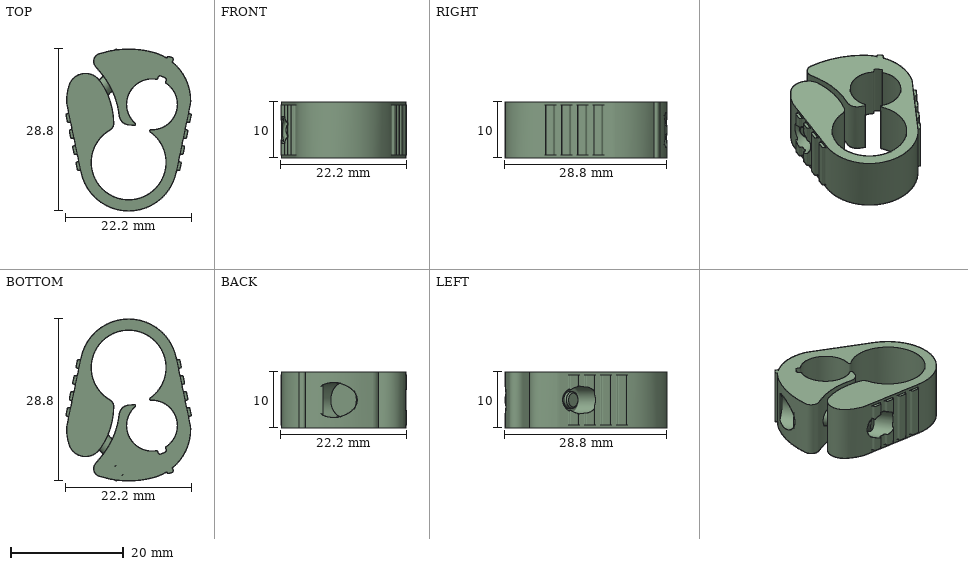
import cadquery as cq
import math

height = 10.0
large_bore_radius = 6.62
end_radius = 8.63
small_bore_centre = (4.15, 10.3)
small_bore_radius = 4.5
tip_radius = 0.23

side_y = 10.9
half_width = 11.02
side_radius = 8.92
blend_radius = 2.88
top_y = 20.12
top_radius = 16.98

lobe_centre = (-15.63, 6.82)
lobe_radius = 13.0
slit_width = 1.0
lobe_nose_radius = 3.08
lobe_foot_radius = 1.38
jaw_radius = lobe_radius + slit_width
jaw_nose_radius = 1.45
jaw_nose_x = -4.78
jaw_foot_radius = 1.93

key_angle = 68.3
groove_width = 1.5
groove_inner_radius = 3.45
groove_outer_radius = 5.25
groove_corner_radius = 0.3
groove_mouth_radius = 0.3
ridge_width = 1.18
ridge_outer_radius = 9.05
ridge_inner_radius = 7.48
ridge_corner_radius = 0.35

rib_count = 4
rib_pitch = 2.9
rib_length = 1.55
rib_rise = 0.55
rib_root_depth = 0.3
rib_corner_radius = 0.23
rib_foot_radius = 0.23
rib_height = 8.95
first_rib_distance = 1.18

recess_floor_centre = (-8.72, 8.65)
screw_angle = 47.0
recess_diameter = 4.9
recess_floor_fillet = 0.2
clearance_diameter = 3.1
shank_diameter = 3.0
tip_diameter = 2.45
tip_chamfer = (shank_diameter - tip_diameter) / 2
tip_protrusion = 0.85
head_diameter = 6.2
head_thickness = 2.01
head_top_distance = 12.8
tool_reach = 5.75


def polar(centre, radius, degrees):
    angle = math.radians(degrees)
    return (centre[0] + radius * math.cos(angle), centre[1] + radius * math.sin(angle))


def heading(start, end):
    return math.degrees(math.atan2(end[1] - start[1], end[0] - start[0]))


def toward(centre, radius, target):
    """Point on a circle in the direction of target."""
    return polar(centre, radius, heading(centre, target))


def meeting_point(centre_a, radius_a, centre_b, radius_b, side):
    """Crossing of two circles; side is 1 for the one left of a-to-b, -1 for the right."""
    distance = math.dist(centre_a, centre_b)
    cosine = (radius_a**2 + distance**2 - radius_b**2) / (2 * radius_a * distance)
    return polar(centre_a, radius_a, heading(centre_a, centre_b) + side * math.degrees(math.acos(cosine)))


def mirrored(point):
    return (-point[0], point[1])


origin = (0.0, 0.0)
top_centre = (0.0, top_y - top_radius)
side_centre = (half_width - side_radius, side_y)
blend_centre = (half_width - blend_radius, side_y)
lobe_nose_centre = meeting_point(
    lobe_centre, lobe_radius - lobe_nose_radius, mirrored(side_centre), side_radius - lobe_nose_radius, 1
)
lobe_foot_centre = meeting_point(
    lobe_centre, lobe_radius - lobe_foot_radius, origin, large_bore_radius + lobe_foot_radius, 1
)
jaw_nose_reach = top_radius - jaw_nose_radius
jaw_nose_centre = (jaw_nose_x, top_centre[1] + math.sqrt(jaw_nose_reach**2 - jaw_nose_x**2))
jaw_foot_centre = meeting_point(
    lobe_centre, jaw_radius + jaw_foot_radius, origin, large_bore_radius + jaw_foot_radius, 1
)
jaw_tip_centre, body_tip_centre = [
    meeting_point(
        origin, large_bore_radius + tip_radius, small_bore_centre, small_bore_radius + tip_radius, side
    )
    for side in (1, -1)
]

flank_normal = heading(origin, blend_centre) - math.degrees(
    math.acos((end_radius - blend_radius) / math.dist(origin, blend_centre))
)
flank_low = polar(origin, end_radius, flank_normal)
flank_high = polar(blend_centre, blend_radius, flank_normal)

mouth_normal = heading(lobe_centre, jaw_nose_centre) - math.degrees(
    math.acos((jaw_radius + jaw_nose_radius) / math.dist(lobe_centre, jaw_nose_centre))
)
mouth_inner = polar(lobe_centre, jaw_radius, mouth_normal)
mouth_outer = polar(jaw_nose_centre, -jaw_nose_radius, mouth_normal)

widest = (half_width, side_y)
bottom_z = -height / 2


def arc_middle(start, end, centre, turn):
    """Middle of an arc; turn is 1 for anticlockwise, -1 for clockwise."""
    sweep = turn * ((turn * (heading(centre, end) - heading(centre, start))) % 360)
    return polar(centre, math.dist(centre, end), heading(centre, start) + sweep / 2)


def clamp_blank():
    """Clamp outline, drawn anticlockwise from the right flank, as a full-height solid."""
    steps = [
        (None, flank_high, 0),
        (blend_centre, widest, 1),
        (side_centre, toward(top_centre, top_radius, side_centre), 1),
        (top_centre, toward(top_centre, top_radius, jaw_nose_centre), 1),
        (jaw_nose_centre, mouth_outer, 1),
        (None, mouth_inner, 0),
        (lobe_centre, toward(lobe_centre, jaw_radius, jaw_foot_centre), -1),
        (jaw_foot_centre, toward(origin, large_bore_radius, jaw_foot_centre), 1),
        (origin, toward(origin, large_bore_radius, jaw_tip_centre), -1),
        (jaw_tip_centre, toward(small_bore_centre, small_bore_radius, jaw_tip_centre), 1),
        (small_bore_centre, toward(small_bore_centre, small_bore_radius, body_tip_centre), -1),
        (body_tip_centre, toward(origin, large_bore_radius, body_tip_centre), 1),
        (origin, toward(origin, large_bore_radius, lobe_foot_centre), -1),
        (lobe_foot_centre, toward(lobe_centre, lobe_radius, lobe_foot_centre), 1),
        (lobe_centre, toward(lobe_centre, lobe_radius, lobe_nose_centre), 1),
        (lobe_nose_centre, toward(mirrored(side_centre), side_radius, lobe_nose_centre), 1),
        (mirrored(side_centre), mirrored(widest), 1),
        (mirrored(blend_centre), mirrored(flank_high), 1),
        (None, mirrored(flank_low), 0),
        (origin, flank_low, 1),
    ]
    outline = cq.Workplane("XY", origin=(0, 0, bottom_z)).moveTo(*flank_low)
    start = flank_low
    for centre, end, turn in steps:
        if centre is None:
            outline = outline.lineTo(*end)
        else:
            outline = outline.threePointArc(arc_middle(start, end, centre, turn), end)
        start = end
    return outline.close().extrude(height)


def key_bar(inner_radius, outer_radius, width, corner_radius):
    """Full-height bar along the key direction, with its outer end concentric with the small bore."""
    key_direction = cq.Vector(*polar(origin, 1, key_angle))
    plane = cq.Plane(origin=(*small_bore_centre, bottom_z), xDir=key_direction, normal=(0, 0, 1))
    half = width / 2
    corner = math.sqrt(outer_radius**2 - half**2)
    bar = (
        cq.Workplane(plane)
        .moveTo(inner_radius, -half)
        .lineTo(corner, -half)
        .threePointArc((outer_radius, 0), (corner, half))
        .lineTo(inner_radius, half)
        .close()
        .extrude(height)
    )
    outer_corners = cq.selectors.DirectionMinMaxSelector(key_direction, True)
    return bar.edges("|Z").edges(outer_corners).fillet(corner_radius)


def cut_key_groove(body):
    body = body.cut(key_bar(groove_inner_radius, groove_outer_radius, groove_width, groove_corner_radius))
    half_angle = math.degrees(math.asin(groove_width / 2 / small_bore_radius))
    for side in (1, -1):
        mouth = polar(small_bore_centre, small_bore_radius, key_angle + side * half_angle)
        body = body.edges(cq.selectors.NearestToPointSelector((*mouth, 0))).fillet(groove_mouth_radius)
    return body


def grip_rib(distance):
    """Rib on the right flank, its middle at a distance from the flank's lower end."""
    plane = cq.Plane(
        origin=(*flank_low, 0), xDir=(*polar(origin, 1, flank_normal + 90), 0), normal=(0, 0, 1)
    )
    depth = rib_rise + rib_root_depth
    rib = (
        cq.Workplane(plane)
        .center(distance, depth / 2 - rib_rise)
        .box(rib_length, depth, rib_height)
    )
    outward = cq.selectors.DirectionMinMaxSelector(cq.Vector(*polar(origin, 1, flank_normal)), True)
    return rib.edges("|Z").edges(outward).fillet(rib_corner_radius)


def foot_point(distance, side):
    """Point on the right flank where one end of a rib meets it."""
    return polar(flank_low, distance + side * rib_length / 2, flank_normal + 90)


def add_grip_ribs(body):
    for index in range(rib_count):
        distance = first_rib_distance + index * rib_pitch
        right_rib = grip_rib(distance)
        body = body.union(right_rib).union(right_rib.mirror("YZ"))
        for side in (1, -1):
            right_foot = foot_point(distance, side)
            for foot in (right_foot, mirrored(right_foot)):
                foot_edge = cq.selectors.NearestToPointSelector((*foot, 0))
                body = body.edges(foot_edge).fillet(rib_foot_radius)
    return body


screw_direction = cq.Vector(*polar(origin, 1, screw_angle))
head_seat = head_top_distance - head_thickness


def along_screw(distance):
    """Workplane across the screw axis, at a distance from the recess floor."""
    axis = cq.Plane(origin=(*recess_floor_centre, 0), xDir=(0, 0, 1), normal=screw_direction)
    return cq.Workplane(axis).workplane(offset=distance)


def cut_screw_seat(body):
    recess = along_screw(0).circle(recess_diameter / 2).extrude(-tool_reach)
    recess = recess.edges(cq.selectors.NearestToPointSelector((*recess_floor_centre, 0)))
    recess = recess.fillet(recess_floor_fillet)
    clearance = along_screw(0).circle(clearance_diameter / 2).extrude(head_seat)
    counterbore = along_screw(head_seat).circle(head_diameter / 2).extrude(tool_reach)
    return body.cut(recess).cut(clearance).cut(counterbore)


def make_clamp():
    ridge = key_bar(ridge_inner_radius, ridge_outer_radius, ridge_width, ridge_corner_radius)
    body = cut_key_groove(clamp_blank().union(ridge))
    body = add_grip_ribs(body)
    return cut_screw_seat(body)


def make_screw():
    shank = along_screw(-tip_protrusion).circle(shank_diameter / 2).extrude(tip_protrusion + head_seat)
    shank = shank.faces(cq.selectors.DirectionMinMaxSelector(screw_direction, False))
    shank = shank.chamfer(tip_chamfer)
    head = along_screw(head_seat).circle(head_diameter / 2).extrude(head_thickness)
    return shank.union(head)


clamp = make_clamp()
screw = make_screw()
result = cq.Compound.makeCompound([clamp.solids().val(), screw.solids().val()])